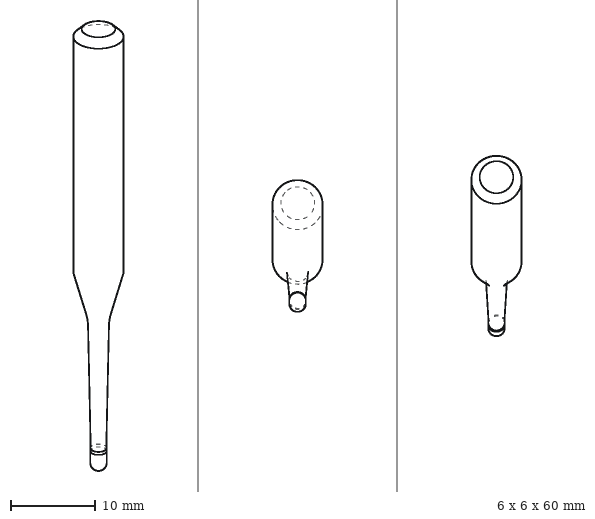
import cadquery as cq
import math

tool_length = 60.0
shank_radius = 3.0
shank_start = 26.95
end_chamfer = 1.0

ball_radius = 1.0
head_length = 2.6

neck_radius = 0.97
collar_end = 3.0
taper_start = 4.25
taper_end = 20.0
taper_angle = math.radians(1.1)
blend_end = 21.6
blend_radius = 8.0
cone_angle = math.radians(15.0)

taper_end_radius = neck_radius + (taper_end - taper_start) * math.tan(taper_angle)
blend_end_radius = shank_radius - (shank_start - blend_end) * math.tan(cone_angle)


def make_cutting_head():
    """Cylinder with a full hemisphere at its lower end, tip at the origin."""
    profile = (
        cq.Workplane("YZ")
        .moveTo(0, 0)
        .radiusArc((ball_radius, ball_radius), -ball_radius)
        .lineTo(ball_radius, head_length)
        .lineTo(0, head_length)
        .close()
    )
    return profile.revolve(360, (0, 0, 0), (0, 1, 0))


def make_shank():
    """Collar, neck, cone and cylindrical shank, turned as one piece above the head."""
    profile = (
        cq.Workplane("YZ")
        .moveTo(0, head_length)
        .lineTo(ball_radius, head_length)
        .lineTo(ball_radius, collar_end)
        .lineTo(neck_radius, collar_end)
        .lineTo(neck_radius, taper_start)
        .lineTo(taper_end_radius, taper_end)
        .radiusArc((blend_end_radius, blend_end), blend_radius)
        .lineTo(shank_radius, shank_start)
        .lineTo(shank_radius, tool_length - end_chamfer)
        .lineTo(shank_radius - end_chamfer, tool_length)
        .lineTo(0, tool_length)
        .close()
    )
    return profile.revolve(360, (0, 0, 0), (0, 1, 0))


cutting_head = make_cutting_head()
shank = make_shank()

result = cq.Compound.makeCompound([cutting_head.val(), shank.val()])